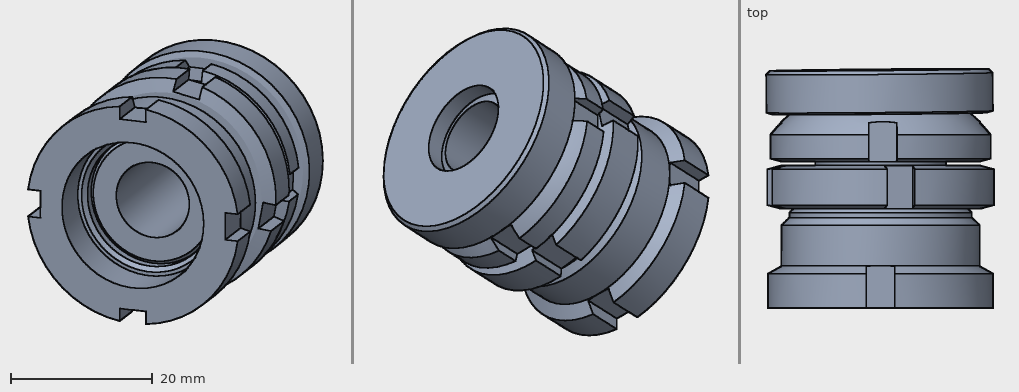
import cadquery as cq
import math


flange_radius = 16.0
slot_width = 4.0
slot_count = 4
slot_overrun = 0.35
thread_radius = 9.52

base_height = 13.98
flange_rim_height = 4.85
flange_height = 5.98
sleeve_radius = 14.0
sleeve_height = 11.68
neck_radius = 12.9
neck_start = 12.75
neck_end = 13.47
base_top_radius = 12.35
counterbore_radius = 10.75
counterbore_depth = 6.15
bore_mouth_radius = 10.15

ring_height = 6.15
ring_chamfer_height = 0.55
ring_face_radius = 14.0
ring_slot_radius = 14.1
ring_turn = 10.5

spindle_end = 7.73
spindle_end_radius = 9.0
spindle_hole_radius = 5.55
relief_radius = 9.25
relief_height = 0.55
collar_radius = 15.63
collar_rim_height = 3.78
collar_chamfer_height = 0.4
collar_face_radius = 14.1
collar_slot_radius = 14.0
collar_turn = 1.3
sphere_radius = 19.8

washer_face = 27.4
washer_height = 6.18
washer_hole_radius = 6.75
washer_top_chamfer = 0.55
washer_lower_chamfer_height = 0.27
washer_lower_radius = 15.12
washer_tilt_x = 0.4
washer_tilt_z = 0.5

ring_top = base_height + ring_height
collar_face = ring_top + relief_height
collar_edge = collar_face + collar_rim_height
sphere_center = collar_edge - math.sqrt(sphere_radius**2 - collar_radius**2)


def turned(points):
    """Solid of revolution about Y from (radius, position) points."""
    return cq.Workplane("XY").polyline(points).close().revolve(360, (0, 0, 0), (0, 1, 0))


def sphere_height(radius):
    """Position along Y at which the sphere has the given radius."""
    return sphere_center + math.sqrt(sphere_radius**2 - radius**2)


def rim_slots(floor_radius, start, end, turn):
    """Axial slots around a rim, with flat floors at floor_radius and the first at +Z."""
    depth = flange_radius - floor_radius + slot_overrun
    slots = cq.Workplane("XY")
    for i in range(slot_count):
        slot = (
            cq.Workplane("XY")
            .box(slot_width, end - start, depth, centered=(True, False, False))
            .translate((0, start, floor_radius))
            .rotate((0, 0, 0), (0, 1, 0), turn + i * 360 / slot_count)
        )
        slots = slots.add(slot)
    return slots.combine()


def make_base():
    """Flanged sleeve with a counterbore and a plain bore for the spindle thread."""
    body = turned([
        (counterbore_radius, 0),
        (flange_radius, 0),
        (flange_radius, flange_rim_height),
        (sleeve_radius, flange_height),
        (sleeve_radius, sleeve_height),
        (neck_radius, neck_start),
        (neck_radius, neck_end),
        (base_top_radius, base_height),
        (thread_radius, base_height),
        (thread_radius, counterbore_depth + bore_mouth_radius - thread_radius),
        (bore_mouth_radius, counterbore_depth),
        (counterbore_radius, counterbore_depth),
    ])
    return body.cut(rim_slots(sleeve_radius, 0, flange_height, 0))


def make_lock_ring():
    """Slotted lock nut resting on the base, with both rims chamfered."""
    body = turned([
        (thread_radius, base_height),
        (ring_face_radius, base_height),
        (flange_radius, base_height + ring_chamfer_height),
        (flange_radius, ring_top - ring_chamfer_height),
        (ring_face_radius, ring_top),
        (thread_radius, ring_top),
    ])
    return body.cut(rim_slots(ring_slot_radius, base_height, ring_top, ring_turn))


def make_spindle():
    """Hollow spindle whose slotted collar carries a spherical dome."""
    dome_top = sphere_height(spindle_hole_radius)
    dome_mid_radius = (collar_radius + spindle_hole_radius) / 2
    body = (
        cq.Workplane("XY")
        .moveTo(spindle_hole_radius, spindle_end)
        .lineTo(spindle_end_radius, spindle_end)
        .lineTo(thread_radius, spindle_end + thread_radius - spindle_end_radius)
        .lineTo(thread_radius, ring_top)
        .lineTo(relief_radius, ring_top)
        .lineTo(relief_radius, collar_face)
        .lineTo(collar_face_radius, collar_face)
        .lineTo(collar_radius, collar_face + collar_chamfer_height)
        .lineTo(collar_radius, collar_edge)
        .threePointArc((dome_mid_radius, sphere_height(dome_mid_radius)), (spindle_hole_radius, dome_top))
        .close()
        .revolve(360, (0, 0, 0), (0, 1, 0))
    )
    return body.cut(rim_slots(collar_slot_radius, collar_face, dome_top, collar_turn))


def make_washer():
    """Seat washer with a hollow that fits the dome, tilted about the sphere's centre."""
    washer_top = washer_face + washer_height
    blank = turned([
        (washer_hole_radius, washer_face),
        (washer_lower_radius, washer_face),
        (flange_radius, washer_face + washer_lower_chamfer_height),
        (flange_radius, washer_top - washer_top_chamfer),
        (flange_radius - washer_top_chamfer, washer_top),
        (washer_hole_radius, washer_top),
    ])
    center = cq.Vector(0, sphere_center, 0)
    dome = cq.Workplane("XY").sphere(sphere_radius).translate(center)
    washer = blank.cut(dome)
    washer = washer.rotate(center, center + cq.Vector(0.35, 0, 0), washer_tilt_x)
    return washer.rotate(center, center + cq.Vector(0, 0, 0.35), washer_tilt_z)


base = make_base()
lock_ring = make_lock_ring()
spindle = make_spindle()
washer = make_washer()

result = cq.Compound.makeCompound([base.val(), lock_ring.val(), spindle.val(), washer.val()])